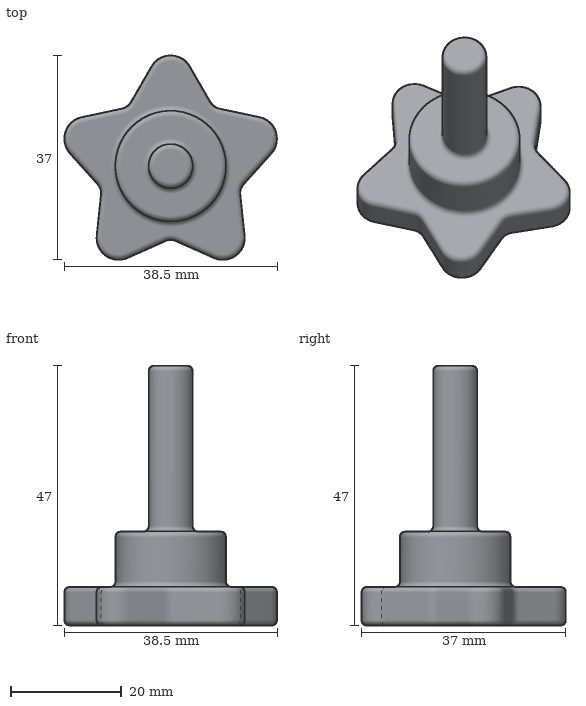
import cadquery as cq
import math

POINTS = 5
TIP_RADIUS = 4.0
TIP_CENTER = 16.05
FLANK_ANGLE = 30.0
VALLEY_RADIUS = 2.5
PLATE_HEIGHT = 7.0

TOTAL_HEIGHT = 47.0
HUB_DIAMETER = 20.0
HUB_HEIGHT = 10.0
SHAFT_DIAMETER = 8.0

EDGE_RADIUS = 1.0

HUB_TOP = PLATE_HEIGHT + HUB_HEIGHT


def polar(radius, angle):
    """Point at a radius and an angle in degrees about the axis."""
    return (radius * math.cos(math.radians(angle)), radius * math.sin(math.radians(angle)))


def offset(point, radius, angle):
    """Point moved by a radius in the direction of an angle in degrees."""
    dx, dy = polar(radius, angle)
    return (point[0] + dx, point[1] + dy)


def star_plate():
    """Star-shaped plate with one tip along +Y and its rims rounded."""
    half_pitch = 180.0 / POINTS
    normal_turn = 90.0 - FLANK_ANGLE
    flank_distance = TIP_CENTER * math.cos(math.radians(normal_turn)) + TIP_RADIUS
    valley_turn = normal_turn - half_pitch
    valley_center = (flank_distance + VALLEY_RADIUS) / math.cos(math.radians(valley_turn))

    outline = None
    for index in range(POINTS):
        tip_angle = 90.0 + 2 * half_pitch * index
        valley_angle = tip_angle + half_pitch
        tip = polar(TIP_CENTER, tip_angle)
        valley = polar(valley_center, valley_angle)
        tip_start = offset(tip, TIP_RADIUS, tip_angle - normal_turn)
        tip_end = offset(tip, TIP_RADIUS, tip_angle + normal_turn)
        valley_start = offset(valley, -VALLEY_RADIUS, valley_angle + valley_turn)
        valley_middle = offset(valley, -VALLEY_RADIUS, valley_angle)
        valley_end = offset(valley, -VALLEY_RADIUS, valley_angle - valley_turn)
        if outline is None:
            outline = cq.Workplane("XY").moveTo(*tip_start)
        else:
            outline = outline.lineTo(*tip_start)
        outline = (
            outline.threePointArc(polar(TIP_CENTER + TIP_RADIUS, tip_angle), tip_end)
            .lineTo(*valley_start)
            .threePointArc(valley_middle, valley_end)
        )
    plate = outline.close().extrude(PLATE_HEIGHT)
    return plate.faces("<Z or >Z").edges().fillet(EDGE_RADIUS)


def hub_and_shaft():
    """Turned hub and shaft, with rounded rims and concave fillets at each foot; its root is sunk in the plate."""
    hub_r = HUB_DIAMETER / 2
    shaft_r = SHAFT_DIAMETER / 2
    r = EDGE_RADIUS
    short = r * (1 - math.sqrt(0.5))
    profile = (
        cq.Workplane("XZ")
        .moveTo(0, r)
        .lineTo(hub_r + r, r)
        .lineTo(hub_r + r, PLATE_HEIGHT)
        .threePointArc((hub_r + short, PLATE_HEIGHT + short), (hub_r, PLATE_HEIGHT + r))
        .lineTo(hub_r, HUB_TOP - r)
        .threePointArc((hub_r - short, HUB_TOP - short), (hub_r - r, HUB_TOP))
        .lineTo(shaft_r + r, HUB_TOP)
        .threePointArc((shaft_r + short, HUB_TOP + short), (shaft_r, HUB_TOP + r))
        .lineTo(shaft_r, TOTAL_HEIGHT - r)
        .threePointArc((shaft_r - short, TOTAL_HEIGHT - short), (shaft_r - r, TOTAL_HEIGHT))
        .lineTo(0, TOTAL_HEIGHT)
        .close()
    )
    return profile.revolve(360, (0, 0, 0), (0, 1, 0))


result = star_plate().union(hub_and_shaft())